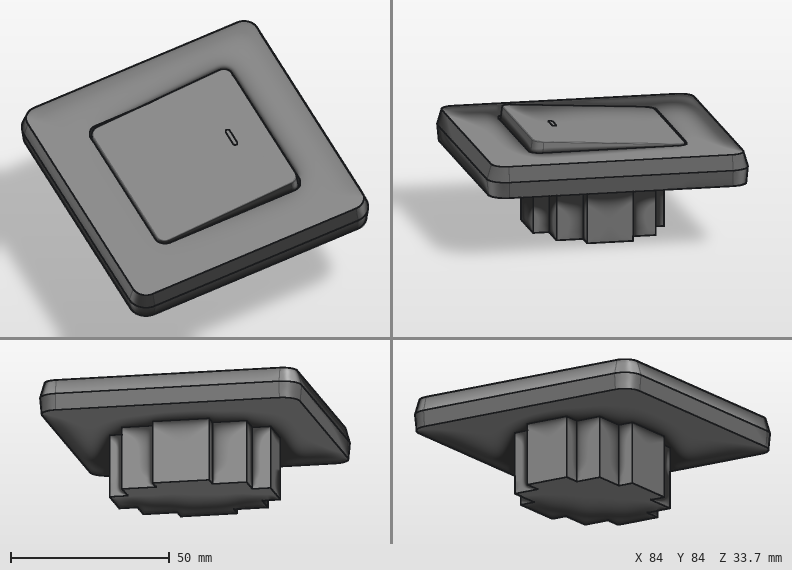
import cadquery as cq
import math

plate_size = 84.0
plate_corner_radius = 6.0
base_height = 5.2
frame_height = 4.8
base_inset = 0.5
frame_inset = 1.4
frame_top = base_height + frame_height

opening_size = 51.0
opening_corner_radius = 3.5

rocker_top_size = 49.3
rocker_corner_radius = 3.0
rocker_draft = 3.5
rocker_edge_fillet = 0.2
rocker_tilt = 4.0
rocker_center_y = -0.35
rocker_rise = 3.71
rocker_block_depth = frame_height + 2 * rocker_rise
half_tilt_rise = rocker_top_size / 2 * math.sin(math.radians(rocker_tilt))
rocker_center_z = frame_top + rocker_rise - half_tilt_rise

lamp_length = 6.5
lamp_width = 1.4
lamp_depth = 1.0
lamp_offset = 13.3

back_box_height = 20.0
back_box_rectangles = [(51.8, 14.8), (40.1, 32.0), (18.2, 42.2)]


def leaning_plate(height, inset, start_z):
    """Rounded square slab, full size at start_z, leaning in by inset over its height."""
    taper = math.degrees(math.atan2(inset, abs(height)))
    outline = cq.Sketch().rect(plate_size, plate_size).vertices().fillet(plate_corner_radius)
    return cq.Workplane("XY", origin=(0, 0, start_z)).placeSketch(outline).extrude(height, taper=taper)


def make_base():
    return leaning_plate(-base_height, base_inset, base_height)


def make_frame():
    opening = (
        cq.Workplane("XY", origin=(0, 0, base_height))
        .rect(opening_size, opening_size)
        .extrude(frame_height)
        .edges("|Z")
        .fillet(opening_corner_radius)
    )
    return leaning_plate(frame_height, frame_inset, base_height).cut(opening)


def rocker_face():
    """Workplane on the tilted top face of the rocker; its local Y runs up the slope."""
    tilt = math.radians(rocker_tilt)
    face = cq.Plane(
        origin=(0, rocker_center_y, rocker_center_z),
        xDir=(1, 0, 0),
        normal=(0, -math.sin(tilt), math.cos(tilt)),
    )
    return cq.Workplane(face)


def make_lamp():
    return rocker_face().center(0, lamp_offset).slot2D(lamp_length, lamp_width).extrude(-lamp_depth)


def make_rocker(lamp):
    outline = cq.Sketch().rect(rocker_top_size, rocker_top_size).vertices().fillet(rocker_corner_radius)
    block = rocker_face().placeSketch(outline).extrude(-rocker_block_depth, taper=-rocker_draft)
    top_face = cq.selectors.DirectionMinMaxSelector(rocker_face().plane.zDir, True)
    block = block.faces(top_face).edges().fillet(rocker_edge_fillet)
    space_above_base = (
        cq.Workplane("XY", origin=(0, 0, base_height))
        .rect(plate_size, plate_size)
        .extrude(rocker_block_depth)
    )
    return block.intersect(space_above_base).cut(lamp)


def make_back_box():
    box = cq.Workplane("XY")
    for length, width in back_box_rectangles:
        box = box.union(cq.Workplane("XY").rect(length, width).extrude(-back_box_height))
    return box


base = make_base()
frame = make_frame()
lamp = make_lamp()
rocker = make_rocker(lamp)
back_box = make_back_box()

result = cq.Compound.makeCompound(
    [base.val(), frame.val(), rocker.val(), lamp.val(), back_box.val()]
)